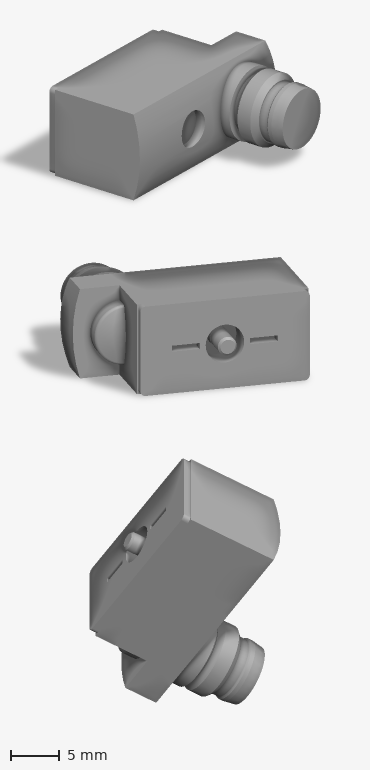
import cadquery as cq

HEIGHT = 9.7
LENGTH = 23.3
DEPTH = 11.65
CROWN_RISE_X = 0.82
CROWN_RISE_Y = 0.77
SHOULDER_Y = 18.31
FLANGE_X = 7.1

PLATE_THICKNESS = 0.8
PLATE_BOTTOM_Y = 0.1
PLATE_TOP_Y = 18.17
PLATE_CORNER_RADIUS = 0.54
PLATE_CENTER_Y = (PLATE_BOTTOM_Y + PLATE_TOP_Y) / 2
PLATE_WIDTH = PLATE_TOP_Y - PLATE_BOTTOM_Y

SCREW_Y = 9.15
SCREW_DIAMETER = 2.0
SCREW_BASE_DIAMETER = 2.1
SCREW_PROTRUSION = 1.07
SCREW_CHAMFER = 0.23
RECESS_DIAMETER = 4.1
RECESS_DEPTH = 2.8
SCREW_BASE_LENGTH = 0.93
SLOT_OFFSET = 4.17
SLOT_LENGTH = 2.98
SLOT_HEIGHT = 0.65
SLOT_DEPTH = 1.16
REAR_POCKET_DIAMETER = 4.0
REAR_POCKET_DEPTH = 1.16

CONNECTOR_Y = 17.85
COLLAR_DIAMETER = 8.1
RING_DIAMETER = 8.0
NECK_DIAMETER = 6.5
RING_EDGE_DIAMETER = 6.75
RIM_DIAMETER = 6.9
COLLAR_END_X = 12.8
RING_START_X = 13.2
RING_FULL_X = 13.77
RING_TAPER_X = 15.4
RING_END_X = 16.03
RIM_START_X = 17.0
RIM_FULL_X = 17.22
RIM_TAPER_X = 17.7
CONNECTOR_END_X = 19.0

KNOB_Y = 18.17
KNOB_DIAMETER = 6.5
DOME_DIAMETER = 6.03
DOME_TIP_X = 4.82
DOME_EDGE_X = 5.35
KNOB_SHOULDER_X = 5.65


def crowned_profile(plane, start, end, rise):
    """Rectangle profile of the housing with an outward arc on its far end."""
    half = HEIGHT / 2
    return (
        cq.Workplane(plane)
        .moveTo(start, -half)
        .lineTo(end - rise, -half)
        .threePointArc((end, 0), (end - rise, half))
        .lineTo(start, half)
        .close()
    )


def make_housing():
    outline = (
        cq.Workplane("XY")
        .polyline([
            (PLATE_THICKNESS, 0),
            (DEPTH, 0),
            (DEPTH, LENGTH),
            (FLANGE_X, LENGTH),
            (FLANGE_X, SHOULDER_Y),
            (PLATE_THICKNESS, SHOULDER_Y),
        ])
        .close()
        .extrude(HEIGHT / 2, both=True)
    )
    crown_x = crowned_profile("XZ", 0, DEPTH, CROWN_RISE_X).extrude(-LENGTH)
    crown_y = crowned_profile("YZ", 0, LENGTH, CROWN_RISE_Y).extrude(DEPTH)
    return outline.intersect(crown_x).intersect(crown_y)


def make_plate():
    return (
        cq.Workplane("YZ")
        .center(PLATE_CENTER_Y, 0)
        .rect(PLATE_WIDTH, HEIGHT)
        .extrude(PLATE_THICKNESS)
        .edges("|X")
        .fillet(PLATE_CORNER_RADIUS)
    )


def cylinder_x(y, diameter, start, end):
    """Solid cylinder along X between two X positions."""
    return cq.Workplane("YZ", origin=(start, y, 0)).circle(diameter / 2).extrude(end - start)


def make_screw():
    base = cylinder_x(SCREW_Y, SCREW_BASE_DIAMETER, RECESS_DEPTH - SCREW_BASE_LENGTH, RECESS_DEPTH)
    pin = cylinder_x(SCREW_Y, SCREW_DIAMETER, -SCREW_PROTRUSION, RECESS_DEPTH)
    return pin.faces("<X").chamfer(SCREW_CHAMFER).union(base)


def make_slots():
    return (
        cq.Workplane("YZ")
        .pushPoints([(SCREW_Y - SLOT_OFFSET, 0), (SCREW_Y + SLOT_OFFSET, 0)])
        .rect(SLOT_LENGTH, SLOT_HEIGHT)
        .extrude(SLOT_DEPTH)
    )


def make_connector():
    stations = [
        (FLANGE_X, COLLAR_DIAMETER),
        (COLLAR_END_X, COLLAR_DIAMETER),
        (COLLAR_END_X, NECK_DIAMETER),
        (RING_START_X, NECK_DIAMETER),
        (RING_START_X, RING_EDGE_DIAMETER),
        (RING_FULL_X, RING_DIAMETER),
        (RING_TAPER_X, RING_DIAMETER),
        (RING_END_X, RING_EDGE_DIAMETER),
        (RING_END_X, NECK_DIAMETER),
        (RIM_START_X, NECK_DIAMETER),
        (RIM_FULL_X, RIM_DIAMETER),
        (RIM_TAPER_X, RIM_DIAMETER),
        (CONNECTOR_END_X, NECK_DIAMETER),
    ]
    profile = cq.Workplane("XY", origin=(0, CONNECTOR_Y, 0)).moveTo(FLANGE_X, 0)
    for x, diameter in stations:
        profile = profile.lineTo(x, diameter / 2)
    return profile.lineTo(CONNECTOR_END_X, 0).close().revolve(360, (0, 0, 0), (1, 0, 0))


def make_knob():
    dome_radius = DOME_DIAMETER / 2
    rise = DOME_EDGE_X - DOME_TIP_X
    sphere_radius = (dome_radius**2 + rise**2) / (2 * rise)
    mid_radius = dome_radius / 2
    mid_x = DOME_TIP_X + sphere_radius - (sphere_radius**2 - mid_radius**2) ** 0.5
    return (
        cq.Workplane("XY", origin=(0, KNOB_Y, 0))
        .moveTo(DOME_TIP_X, 0)
        .threePointArc((mid_x, mid_radius), (DOME_EDGE_X, dome_radius))
        .tangentArcPoint((KNOB_SHOULDER_X, KNOB_DIAMETER / 2), relative=False)
        .lineTo(FLANGE_X, KNOB_DIAMETER / 2)
        .lineTo(FLANGE_X, 0)
        .close()
        .revolve(360, (0, 0, 0), (1, 0, 0))
    )


recess = cylinder_x(SCREW_Y, RECESS_DIAMETER, 0, RECESS_DEPTH)
rear_pocket = cylinder_x(SCREW_Y, REAR_POCKET_DIAMETER, DEPTH - REAR_POCKET_DEPTH, DEPTH)

result = (
    make_housing()
    .union(make_plate())
    .union(make_connector())
    .union(make_knob())
    .cut(recess)
    .cut(make_slots())
    .cut(rear_pocket)
    .union(make_screw())
)